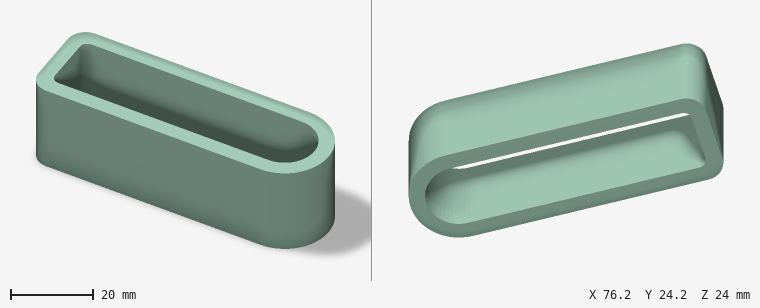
import cadquery as cq

length = 76.2
width = 24.2
height = 24.0
wall = 4.0
outer_corner_radius = 4.95
inner_corner_radius = 2.0


def rounded_prism(total_length, total_width, square_end_radius):
    """Upright prism with a semicircular +X end and two rounded corners at -X."""
    half_length = total_length / 2
    half_width = total_width / 2
    arc_start = half_length - half_width
    return (
        cq.Workplane("XY")
        .moveTo(-half_length, -half_width)
        .lineTo(arc_start, -half_width)
        .threePointArc((half_length, 0), (arc_start, half_width))
        .lineTo(-half_length, half_width)
        .close()
        .extrude(height)
        .edges("|Z and <X")
        .fillet(square_end_radius)
    )


outer_body = rounded_prism(length, width, outer_corner_radius)
opening = rounded_prism(length - 2 * wall, width - 2 * wall, inner_corner_radius)

result = outer_body.cut(opening)